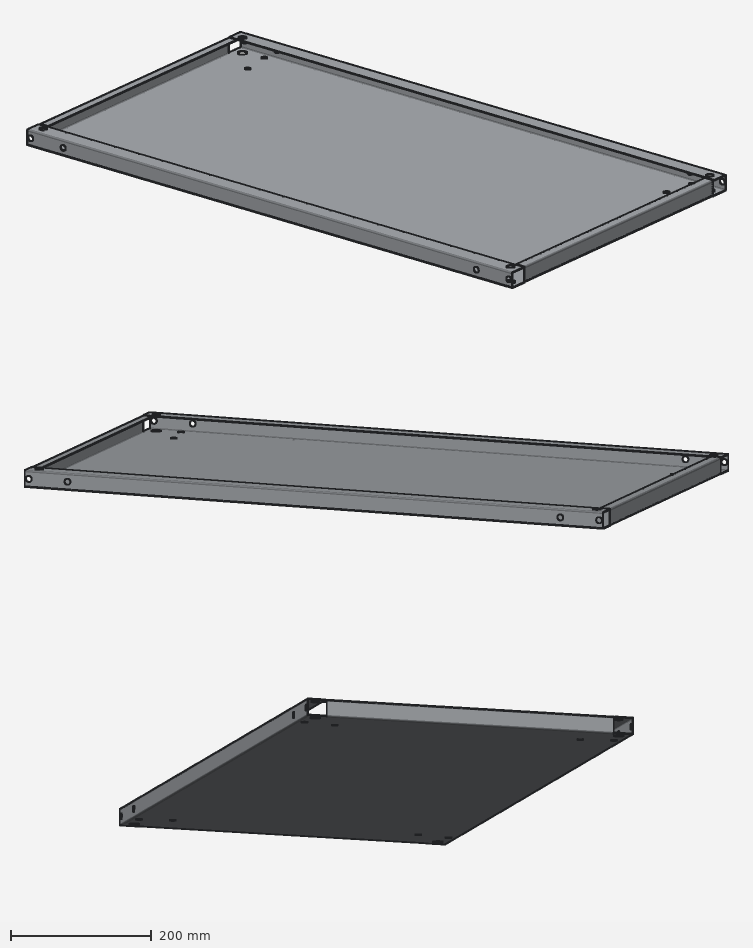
import cadquery as cq

length = 883.0
width = 486.0
height = 25.0
sheet = 1.5
outer_bend = 2.0
inner_bend = outer_bend - sheet

side_lip = 26.5
end_lip = 15.0
end_wall_setback = 29.0
end_wall_length = width - 2 * end_wall_setback

wall_hole_diameter = 9.0
wall_hole_insets = (6.0, 65.0)
lip_hole_diameter = 11.5
corner_hole_diameter = 14.0
corner_hole_end_inset = 16.0
corner_hole_side_inset = 17.0
floor_hole_diameter = 9.0
floor_hole_inset = 60.0
edge_hole_end_inset = 52.0
edge_hole_side_inset = 12.0


def lipped_channel(span, lip, run):
    """Folded channel with lips turned inward, centred on Z and extruded along the local Y axis."""
    outer = (
        cq.Workplane("XZ")
        .center(0, height / 2)
        .rect(span, height)
        .extrude(run / 2, both=True)
        .edges("|Y")
        .fillet(outer_bend)
    )
    hollow = (
        cq.Workplane("XZ")
        .center(0, height / 2)
        .rect(span - 2 * sheet, height - 2 * sheet)
        .extrude(run / 2, both=True)
        .edges("|Y")
        .fillet(inner_bend)
    )
    mouth = (
        cq.Workplane("XY")
        .workplane(offset=height / 2)
        .rect(span - 2 * lip, run)
        .extrude(height)
    )
    return outer.cut(hollow).cut(mouth)


def corner_points(end_inset, side_inset):
    """Four points, one near each corner, set in from the end and side edges."""
    x = length / 2 - end_inset
    y = width / 2 - side_inset
    return [(-x, -y), (-x, y), (x, -y), (x, y)]


def upright_holes(points, diameter, bottom):
    """Vertical cutters reaching half the tray height, so each passes one layer of sheet."""
    return (
        cq.Workplane("XY")
        .workplane(offset=bottom)
        .pushPoints(points)
        .circle(diameter / 2)
        .extrude(height / 2)
    )


side_folds = lipped_channel(width, side_lip, length).rotate((0, 0, 0), (0, 0, 1), 90)
end_folds = lipped_channel(length, end_lip, end_wall_length)

middle_section = cq.Workplane("XY").box(
    length, end_wall_length, height, centered=(True, True, False)
)
tray = side_folds.cut(middle_section).union(end_folds)

corners = corner_points(corner_hole_end_inset, corner_hole_side_inset)
tray = tray.cut(upright_holes(corners, corner_hole_diameter, 0))
tray = tray.cut(upright_holes(corners, lip_hole_diameter, height / 2))

open_holes = corner_points(floor_hole_inset, floor_hole_inset)
tray = tray.cut(upright_holes(open_holes, floor_hole_diameter, 0))
edge_holes = corner_points(edge_hole_end_inset, edge_hole_side_inset)
tray = tray.cut(upright_holes(edge_holes, floor_hole_diameter, 0))

wall_hole_points = [
    (side * (length / 2 - inset), height / 2)
    for side in (-1, 1)
    for inset in wall_hole_insets
]
wall_holes = (
    cq.Workplane("XZ")
    .pushPoints(wall_hole_points)
    .circle(wall_hole_diameter / 2)
    .extrude(width, both=True)
)
result = tray.cut(wall_holes)